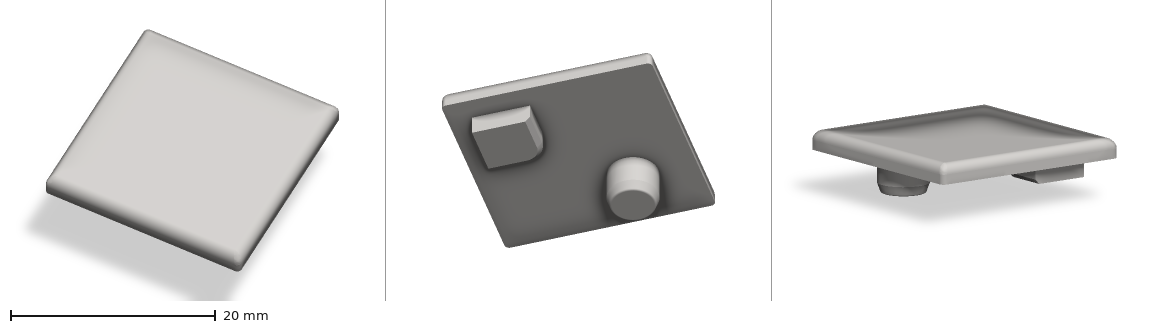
import cadquery as cq

cap_side = 21.5
cap_thickness = 2.0
cap_corner_radius = 0.5
top_edge_radius = cap_thickness / 2

peg_diameter = 5.2
peg_length = 2 * cap_thickness
peg_offset = 4.25
peg_taper_height = 1.0
peg_taper_inset = 0.37
peg_tip_radius = 0.2

key_inner = 2.39
key_outer = 8.32
key_height = 2.0
key_corner_radius = 2.0
key_chamfer = 0.5


def make_cap():
    """Square plate with rounded corners and a rolled top edge."""
    plate = cq.Workplane("XY").box(cap_side, cap_side, cap_thickness, centered=(True, True, False))
    plate = plate.edges("|Z").fillet(cap_corner_radius)
    return plate.faces(">Z").edges().fillet(top_edge_radius)


def make_peg():
    """Cylinder with a tapered lower end and a rounded tip edge."""
    radius = peg_diameter / 2
    half_profile = (
        cq.Workplane("XZ")
        .lineTo(-radius, 0)
        .lineTo(-radius, peg_taper_height - peg_length)
        .lineTo(peg_taper_inset - radius, -peg_length)
        .lineTo(0, -peg_length)
        .close()
    )
    peg = half_profile.revolve(360, (0, 0, 0), (0, 1, 0))
    peg = peg.faces("<Z").edges().fillet(peg_tip_radius)
    return peg.translate((-peg_offset, -peg_offset, 0))


def make_key():
    """Block with its inner corner rounded and its two inner lower edges chamfered."""
    side = key_outer - key_inner
    block = cq.Workplane("XY").box(side, side, key_height, centered=False)
    block = block.translate((key_inner, key_inner, -key_height))
    block = block.edges("|Z and <X and <Y").fillet(key_corner_radius)
    bottom = block.faces("<Z")
    inner_edges = bottom.edges("not(>X or >Y)")
    return inner_edges.chamfer(key_chamfer)


result = make_cap().union(make_peg()).union(make_key())